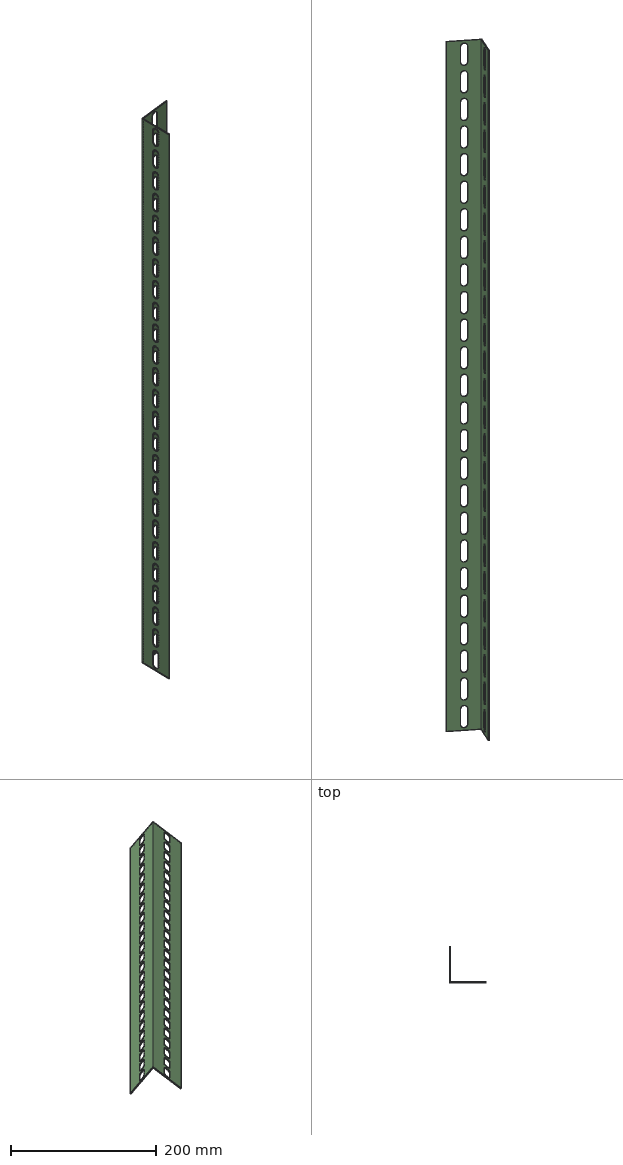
import cadquery as cq

length = 1000
leg_width = 50
thickness = 1.5

slot_count = 25
slot_length = 32
slot_width = 10

slot_pitch = length / slot_count
first_slot_height = slot_pitch / 2
slot_offset = leg_width / 2
upright = 90
cut_depth = 2 * thickness


def angle_bar():
    """Equal-leg angle with its outer corner on the Z axis."""
    outline = [
        (0, 0),
        (leg_width, 0),
        (leg_width, thickness),
        (thickness, thickness),
        (thickness, leg_width),
        (0, leg_width),
    ]
    return cq.Workplane("XY").polyline(outline).close().extrude(length)


def slot_row(outer_face):
    """Evenly spaced round-ended slots through the leg whose outer face lies in the given plane."""
    centres = [(slot_offset, first_slot_height + i * slot_pitch) for i in range(slot_count)]
    return (
        cq.Workplane(outer_face)
        .pushPoints(centres)
        .slot2D(slot_length, slot_width, upright)
        .extrude(cut_depth, both=True)
    )


result = angle_bar()
for outer_face in ("XZ", "YZ"):
    result = result.cut(slot_row(outer_face))